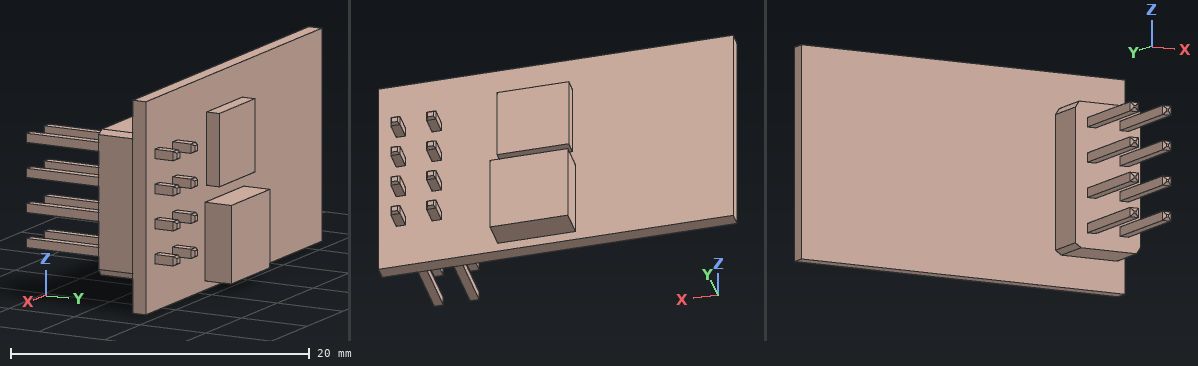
import cadquery as cq

board_length = 24.6
board_height = 14.65
board_thickness = 1.0

component_x = 13.63
low_width = 4.97
low_height = 5.05
low_depth = 0.95
low_z = 9.7
tall_width = 5.39
tall_height = 5.4
tall_depth = 2.0
tall_z = 3.35

header_x = 21.8
header_z = 7.2
header_width = 4.97
header_height = 10.0
header_depth = 2.78
corner_long = 0.45
corner_short = 0.3

pin_columns = 2
pin_rows = 4
column_pitch = 2.48
row_pitch = 2.4
pin_width = 0.65
front_reach = 8.9
front_tip_length = 0.12
front_tip_width = 0.15
rear_reach = 2.63
rear_tip_length = 0.22
rear_tip_width = 0.4


def back_component(width, height, depth, center_z):
    """Rectangular block standing on the back face of the board."""
    block = cq.Workplane("XY").box(width, depth, height, centered=(True, False, True))
    return block.translate((component_x, board_thickness, center_z))


def header_block():
    """Block with unequal corner cuts; the long leg alternates between X and Z."""
    right = header_width / 2
    top = header_height / 2
    half_outline = [
        (-right, top - corner_long),
        (-right + corner_short, top),
        (right - corner_long, top),
        (right, top - corner_short),
    ]
    opposite_half = [(-x, -z) for x, z in half_outline]
    return (
        cq.Workplane("XZ", origin=(header_x, 0, header_z))
        .polyline(half_outline + opposite_half)
        .close()
        .extrude(header_depth)
    )


def pin_tip(shoulder_y, end_y, end_width):
    """Square taper from the pin section at shoulder_y to the flat end at end_y."""
    return (
        cq.Workplane("XZ", origin=(0, shoulder_y, 0))
        .rect(pin_width, pin_width)
        .workplane(offset=shoulder_y - end_y)
        .rect(end_width, end_width)
        .loft(ruled=True)
    )


def header_pin():
    """One pin along Y, centred on X = Z = 0."""
    front_shoulder = -front_reach + front_tip_length
    rear_shoulder = rear_reach - rear_tip_length
    shank = (
        cq.Workplane("XZ", origin=(0, rear_shoulder, 0))
        .rect(pin_width, pin_width)
        .extrude(rear_shoulder - front_shoulder)
    )
    front_tip = pin_tip(front_shoulder, -front_reach, front_tip_width)
    rear_tip = pin_tip(rear_shoulder, rear_reach, rear_tip_width)
    return shank.union(front_tip).union(rear_tip)


board = cq.Workplane("XY").box(board_length, board_thickness, board_height, centered=False)

result = (
    board.union(back_component(low_width, low_height, low_depth, low_z))
    .union(back_component(tall_width, tall_height, tall_depth, tall_z))
    .union(header_block())
)

pin = header_pin()
for column in range(pin_columns):
    for row in range(pin_rows):
        pin_x = header_x + (column - (pin_columns - 1) / 2) * column_pitch
        pin_z = header_z + (row - (pin_rows - 1) / 2) * row_pitch
        result = result.union(pin.translate((pin_x, 0, pin_z)))